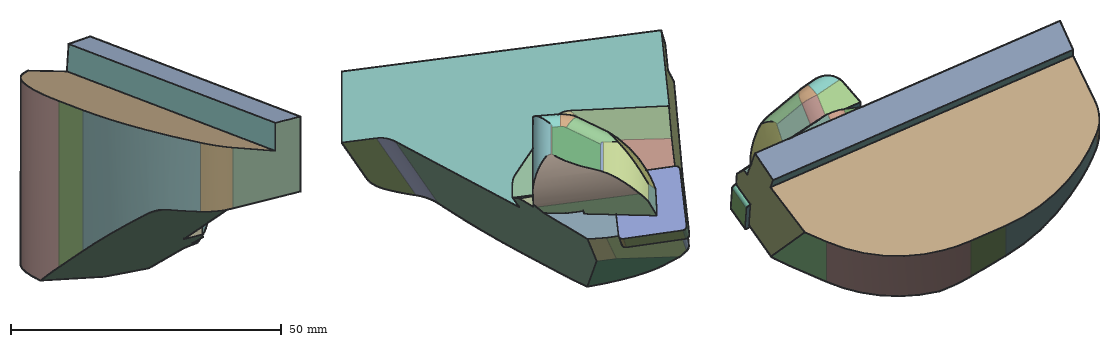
import cadquery as cq
import math


def tan(degrees):
    return math.tan(math.radians(degrees))


def on_circle(center, radius, degrees):
    """Point on a circle, with the angle counted from the first axis."""
    angle = math.radians(degrees)
    return (center[0] + radius * math.cos(angle), center[1] + radius * math.sin(angle))


BIG = 99.75

LENGTH = 66.5
FRONT_RADIUS = 31.5
LEFT_ARC_X = 34.45
RIGHT_ARC_X = 41.5
LEFT_ARC_SWEEP = 50.0
RIGHT_ARC_SWEEP = 46.0
FACET_LENGTH = 26.6

RIB_WIDTH = 6.0
RIB_TOP = 42.6
TOP_FRONT = 44.0
TOP_SLOPE = 15.0
UNDER_KNEE_Y = -9.0
UNDER_KNEE_Z = 1.6
UNDER_BACK_SLOPE = 6.2

CUT_START_X = 18.2
CUT_START_Z = 0.3
CUT_ANGLE = 35.0
CUT_LEDGE_Z = 28.05
CUT_FILLET = 6.3

BLOCK_RIGHT = 32.25
BLOCK_TOP = 26.4
BLOCK_DEPTH = 4.4
BLOCK_SHOULDER_X = 23.55
SHOULDER_RADIUS = 3.9
BLOCK_CORNER_RADIUS = 3.3
FOOT_DEPTH = 7.3
FOOT_TOP = 10.1
FOOT_SLOPE = 35.0
SIDE_FACE_X = 3.25
SIDE_FACE_Y = 1.05
SIDE_FACE_YAW = 10.5
SIDE_FACE_DRAFT = 10.8

INSERT_SIDE = 12.7
INSERT_THICKNESS = 4.8
INSERT_CORNER = 0.8
SEAT_ORIGIN = (-0.06, 0.0, 1.1)
SEAT_YAW = 10.0
SEAT_TILT = 6.0
SEAT_LEAD = 4.5
SIDE_RELIEF = 0.85
LOWER_RELIEF = 0.65
RELIEF_CORNER = 0.65

NOSE_BASE_Y = 1.3
NOSE_TOP = 12.6
NOSE_HEIGHT = 14.6
NOSE_DRAFT = 11.0
NOSE_EDGE = 4.0
NOSE_CORNER = 6.0
NOSE_LEFT = 5.3
NOSE_LEFT_TOP = 9.3
NOSE_SHOULDER = (8.2, 15.8)
NOSE_SLOPE_START = (12.0, 20.3)
NOSE_UPPER_START = 19.3
NOSE_UPPER = 24.95
NOSE_OVERRUN = 30.6
CROWN_X = 20.5
CROWN_Y = 12.25
CROWN_YAW = 11.0

LEFT_END_FOOT = (4.65, -0.65)
LEFT_END_START = (5.45, 3.05)
LEFT_END_MIDDLE = (7.85, 7.65)
LEFT_END_CROWN = (12.9, 10.7)
CROWN_CLEAR = (19.95, 13.0)
NOSE_ROOT_X = 18.6
RIGHT_END_RADIUS = 4.65
RIGHT_END_CENTER = (22.4, NOSE_TOP - RIGHT_END_RADIUS)
RIGHT_END_DRAFT = 15.0

UNDERCUT_FOOT = (-0.65, 3.3)
UNDERCUT_START = (6.65, 6.45)
UNDERCUT_MIDDLE = (10.2, 9.2)
UNDERCUT_END_Z = 13.95

seat = cq.Plane.named("XZ", origin=SEAT_ORIGIN).rotated((-SEAT_TILT, SEAT_YAW, -SEAT_LEAD))


def seat_block(x_offset, y_offset, side, thickness, corner_radius):
    """Square block standing on the seat's axes, with rounded corners."""
    return (
        cq.Workplane(seat)
        .move(x_offset, y_offset)
        .rect(side, side, centered=False)
        .extrude(thickness)
        .edges(cq.selectors.ParallelDirSelector(seat.zDir))
        .fillet(corner_radius)
    )


def head_plan():
    left_center = (LEFT_ARC_X, 0)
    right_center = (RIGHT_ARC_X, 0)
    left_angle = -90 - LEFT_ARC_SWEEP
    right_angle = -90 + RIGHT_ARC_SWEEP
    facet_start = on_circle(left_center, FRONT_RADIUS, left_angle)
    facet_end = on_circle(facet_start, FACET_LENGTH, left_angle - 90)

    reach = math.cos(math.radians(right_angle))
    blend_radius = (LENGTH - RIGHT_ARC_X - FRONT_RADIUS * reach) / (1 - reach)
    blend_center = on_circle(right_center, FRONT_RADIUS - blend_radius, right_angle)
    return (
        cq.Workplane("XY", origin=(0, 0, -BIG / 2))
        .moveTo(facet_end[0], 0)
        .lineTo(*facet_end)
        .lineTo(*facet_start)
        .threePointArc(
            on_circle(left_center, FRONT_RADIUS, -90 - LEFT_ARC_SWEEP / 2),
            (LEFT_ARC_X, -FRONT_RADIUS),
        )
        .lineTo(RIGHT_ARC_X, -FRONT_RADIUS)
        .threePointArc(
            on_circle(right_center, FRONT_RADIUS, -90 + RIGHT_ARC_SWEEP / 2),
            on_circle(right_center, FRONT_RADIUS, right_angle),
        )
        .threePointArc(
            on_circle(blend_center, blend_radius, right_angle / 2),
            (LENGTH, blend_center[1]),
        )
        .lineTo(LENGTH, 0)
        .close()
        .extrude(BIG)
    )


def underside_z(y):
    slope = TOP_SLOPE if y < UNDER_KNEE_Y else UNDER_BACK_SLOPE
    return UNDER_KNEE_Z - (y - UNDER_KNEE_Y) * tan(slope)


def head_core():
    """Head up to the back of the rib."""
    front = -FRONT_RADIUS
    section = [
        (front, TOP_FRONT),
        (-RIB_WIDTH, TOP_FRONT - (FRONT_RADIUS - RIB_WIDTH) * tan(TOP_SLOPE)),
        (-RIB_WIDTH, RIB_TOP),
        (0, RIB_TOP),
        (0, underside_z(0)),
        (UNDER_KNEE_Y, UNDER_KNEE_Z),
        (front, underside_z(front)),
    ]
    profile = cq.Workplane("YZ").polyline(section).close().extrude(BIG, both=True)
    return head_plan().intersect(profile)


def side_face_waste():
    """Everything behind the slanted face at the back left of the block."""
    face = cq.Plane.named("XZ", origin=(SIDE_FACE_X, SIDE_FACE_Y, BLOCK_TOP))
    face = face.rotated((0, SIDE_FACE_YAW, 0)).rotated((SIDE_FACE_DRAFT, 0, 0))
    return cq.Workplane(face).rect(BIG, BIG).extrude(-BIG)


def back_block():
    section = [
        (0, BLOCK_TOP),
        (BLOCK_DEPTH, BLOCK_TOP),
        (BLOCK_DEPTH, FOOT_TOP),
        (FOOT_DEPTH, FOOT_TOP - (FOOT_DEPTH - BLOCK_DEPTH) * tan(FOOT_SLOPE)),
        (FOOT_DEPTH, underside_z(FOOT_DEPTH)),
        (0, underside_z(0)),
    ]
    profile = cq.Workplane("YZ").polyline(section).close().extrude(BIG, both=True)

    corner_z = BLOCK_TOP - (BLOCK_RIGHT - BLOCK_SHOULDER_X) / tan(CUT_ANGLE)
    middle_y = FOOT_DEPTH / 2
    shoulder = cq.selectors.NearestToPointSelector((BLOCK_SHOULDER_X, middle_y, BLOCK_TOP))
    corner = cq.selectors.NearestToPointSelector((BLOCK_RIGHT, middle_y, corner_z))
    outline = (
        cq.Workplane("XZ")
        .moveTo(-BIG, -BIG)
        .lineTo(-BIG, BLOCK_TOP)
        .lineTo(BLOCK_SHOULDER_X, BLOCK_TOP)
        .lineTo(BLOCK_RIGHT, corner_z)
        .lineTo(BLOCK_RIGHT, -BIG)
        .close()
        .extrude(-FOOT_DEPTH)
        .edges(shoulder)
        .fillet(SHOULDER_RADIUS)
        .edges(corner)
        .fillet(BLOCK_CORNER_RADIUS)
    )
    return outline.intersect(profile).cut(side_face_waste())


def slanted_cut():
    ledge_x = CUT_START_X + (CUT_LEDGE_Z - CUT_START_Z) / tan(CUT_ANGLE)
    low_x = ledge_x - BIG
    low_z = CUT_LEDGE_Z - BIG * tan(CUT_ANGLE)
    ledge_corner = cq.selectors.NearestToPointSelector((ledge_x, 0, CUT_LEDGE_Z))
    return (
        cq.Workplane("XZ")
        .polyline([(low_x, low_z), (ledge_x, CUT_LEDGE_Z), (BIG, CUT_LEDGE_Z), (BIG, low_z)])
        .close()
        .extrude(BIG, both=True)
        .edges(ledge_corner)
        .fillet(CUT_FILLET)
    )


def nose_blank():
    """Drafted nose with a sloping crown and its upper edges rounded."""
    blank = (
        cq.Workplane("XZ", origin=(0, NOSE_BASE_Y, 0))
        .moveTo(NOSE_LEFT, 0)
        .lineTo(NOSE_LEFT, NOSE_LEFT_TOP)
        .threePointArc(NOSE_SHOULDER, NOSE_SLOPE_START)
        .lineTo(NOSE_UPPER_START, NOSE_UPPER)
        .lineTo(NOSE_OVERRUN, NOSE_UPPER)
        .lineTo(NOSE_OVERRUN, 0)
        .close()
        .extrude(-NOSE_HEIGHT, taper=NOSE_DRAFT)
    )
    corner_y = NOSE_BASE_Y + NOSE_HEIGHT / 2
    corner = cq.selectors.NearestToPointSelector((NOSE_UPPER_START, corner_y, NOSE_UPPER))
    blank = blank.edges(corner).fillet(NOSE_CORNER)

    crown = cq.Plane.named("XZ", origin=(CROWN_X, CROWN_Y, 0)).rotated((0, CROWN_YAW, 0))
    blank = blank.cut(cq.Workplane(crown).rect(BIG, BIG).extrude(-BIG))
    upper_half = cq.selectors.BoxSelector((NOSE_LEFT, 0, NOSE_SHOULDER[1]), (NOSE_OVERRUN, BIG, NOSE_UPPER))
    return blank.faces(">Y").edges(upper_half).fillet(NOSE_EDGE)


def nose_ends():
    """Space between the rounded left and right ends, which run along Z."""
    wall_x, wall_y = on_circle(RIGHT_END_CENTER, RIGHT_END_RADIUS, RIGHT_END_DRAFT)
    wall_foot_x = wall_x + (wall_y - BLOCK_DEPTH) * tan(RIGHT_END_DRAFT)
    return (
        cq.Workplane("XY")
        .moveTo(*LEFT_END_FOOT)
        .lineTo(*LEFT_END_START)
        .threePointArc(LEFT_END_MIDDLE, LEFT_END_CROWN)
        .lineTo(*CROWN_CLEAR)
        .lineTo(RIGHT_END_CENTER[0], NOSE_TOP)
        .threePointArc(on_circle(RIGHT_END_CENTER, RIGHT_END_RADIUS, 45), (wall_x, wall_y))
        .lineTo(wall_foot_x, BLOCK_DEPTH)
        .lineTo(NOSE_ROOT_X, BLOCK_DEPTH)
        .lineTo(NOSE_ROOT_X, LEFT_END_FOOT[1])
        .close()
        .extrude(BIG)
    )


def nose_underside():
    """Space above the rounded underside, which runs along X."""
    return (
        cq.Workplane("YZ")
        .moveTo(*UNDERCUT_FOOT)
        .lineTo(*UNDERCUT_START)
        .threePointArc(UNDERCUT_MIDDLE, (NOSE_TOP, UNDERCUT_END_Z))
        .lineTo(NOSE_TOP, BIG)
        .lineTo(UNDERCUT_FOOT[0], BIG)
        .close()
        .extrude(BIG)
    )


def make_insert():
    return seat_block(0, 0, INSERT_SIDE, INSERT_THICKNESS, INSERT_CORNER)


def make_head(insert):
    body = head_core().union(back_block())
    body = body.intersect(seat_block(SIDE_RELIEF, LOWER_RELIEF, BIG, BIG, RELIEF_CORNER))
    nose = nose_blank().intersect(nose_ends()).intersect(nose_underside())
    return body.union(nose).cut(slanted_cut()).cut(insert)


insert = make_insert()
head = make_head(insert)
result = cq.Compound.makeCompound([head.val(), insert.val()])